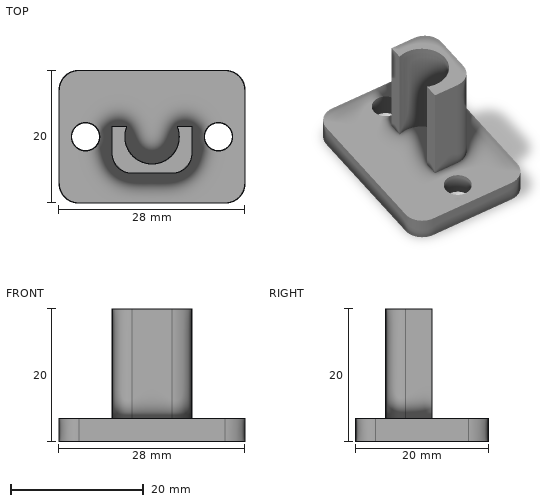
import cadquery as cq

base_length = 28
base_width = 20.0
base_thickness = 3.5
corner_radius = 3.0

hole_diameter = 4.2
hole_spacing = base_width

total_height = 20.0
cradle_width = 12.0
cradle_front = -5.5
cradle_back = 1.5
bore_diameter = 8.2

cradle_depth = cradle_back - cradle_front
cradle_height = total_height - base_thickness


def make_base():
    """Rounded plate with a through hole on each side of the cradle."""
    plate = cq.Workplane("XY").box(
        base_length, base_width, base_thickness, centered=(True, True, False)
    )
    return (
        plate.edges("|Z")
        .fillet(corner_radius)
        .faces(">Z")
        .workplane()
        .pushPoints([(-hole_spacing / 2, 0), (hole_spacing / 2, 0)])
        .hole(hole_diameter)
    )


def make_cradle():
    """Upright block with rounded front corners and a bore open to the back."""
    top_of_base = cq.Workplane("XY").workplane(offset=base_thickness)
    block = (
        top_of_base.center(0, cradle_front + cradle_depth / 2)
        .rect(cradle_width, cradle_depth)
        .extrude(cradle_height)
        .edges("|Z and <Y")
        .fillet(corner_radius)
    )
    bore = top_of_base.circle(bore_diameter / 2).extrude(cradle_height)
    return block.cut(bore)


result = make_base().union(make_cradle())